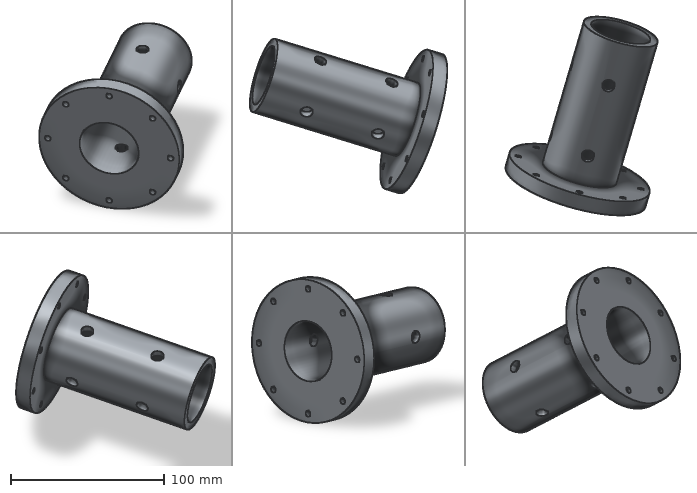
import cadquery as cq

total_length = 110.0
flange_diameter = 95.0
flange_thickness = 10.0
tube_diameter = 50.0
bore_diameter = 40.0

bolt_hole_diameter = 4.0
bolt_circle_diameter = 83.0
bolt_hole_count = 8

cross_hole_diameter = 8.0
first_cross_hole_y = 30.0
cross_hole_spacing = 49.9
cross_hole_positions = (first_cross_hole_y, first_cross_hole_y + cross_hole_spacing)


def cylinder_along_y(diameter, length):
    """Cylinder from Y = 0 towards +Y, centred on the part axis."""
    return cq.Workplane("XZ").circle(diameter / 2).extrude(-length)


def bolt_holes():
    """Ring of through holes in the flange, the first one on the X axis."""
    return (
        cq.Workplane("XZ")
        .polarArray(bolt_circle_diameter / 2, 0, 360, bolt_hole_count)
        .circle(bolt_hole_diameter / 2)
        .extrude(-flange_thickness)
    )


def cross_hole(direction, y):
    """Hole through both tube walls, crossing the axis at height y."""
    start = cq.Vector(0, y, 0) - direction * (tube_diameter / 2)
    return cq.Solid.makeCylinder(cross_hole_diameter / 2, tube_diameter, start, direction)


flange = cylinder_along_y(flange_diameter, flange_thickness)
tube = cylinder_along_y(tube_diameter, total_length)
body = flange.union(tube).cut(cylinder_along_y(bore_diameter, total_length))

body = body.cut(bolt_holes())

for hole_y in cross_hole_positions:
    for hole_direction in (cq.Vector(1, 0, 0), cq.Vector(0, 0, 1)):
        body = body.cut(cross_hole(hole_direction, hole_y))

result = body